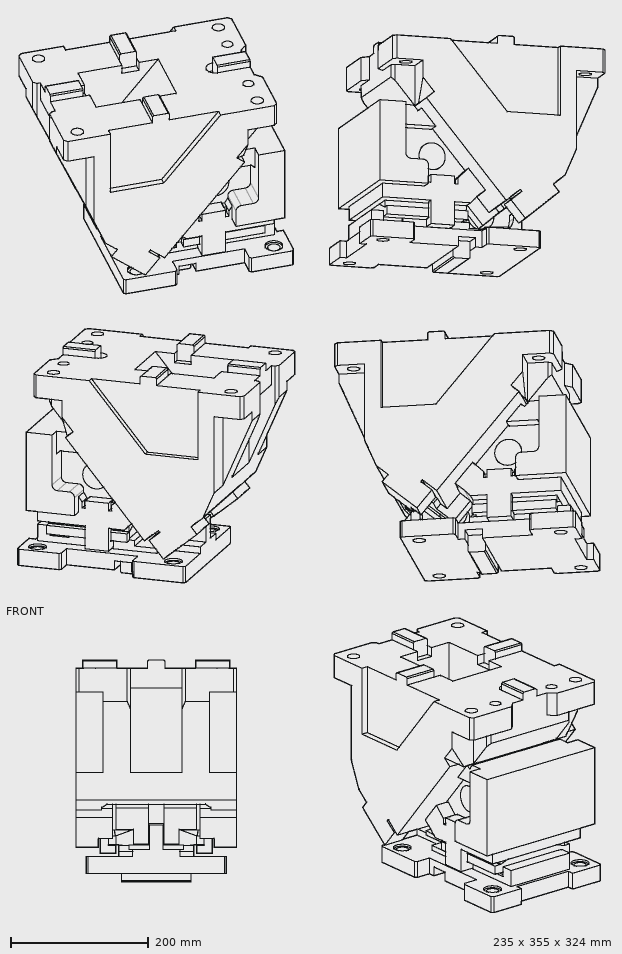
import cadquery as cq
import math


CAM_ANGLE = math.radians(50)
TIP_Y, TIP_Z = -47.5, 63.3


def on_slope(along, out):
    """(Y, Z) of a point `along` the cam face below its tip and `out` of the holder."""
    y = TIP_Y - along * math.cos(CAM_ANGLE) + out * math.sin(CAM_ANGLE)
    z = TIP_Z - along * math.sin(CAM_ANGLE) - out * math.cos(CAM_ANGLE)
    return (y, z)


def slope_at_height(z, out):
    """(Y, Z) of the point at height z on the plane `out` of the cam face."""
    along = (TIP_Z - z - out * math.cos(CAM_ANGLE)) / math.sin(CAM_ANGLE)
    return on_slope(along, out)


def slope_at_wall(y, out):
    """(Y, Z) of the point at depth y on the plane `out` of the cam face."""
    along = (TIP_Y - y + out * math.sin(CAM_ANGLE)) / math.cos(CAM_ANGLE)
    return on_slope(along, out)


def box(x0, x1, y0, y1, z0, z1):
    return cq.Workplane("XY").box(x1 - x0, y1 - y0, z1 - z0, centered=False).translate((x0, y0, z0))


def slab(points, x0, x1):
    """Side profile of (Y, Z) points extruded from x0 to x1."""
    return cq.Workplane("YZ").polyline(points).close().extrude(x1 - x0).translate((x0, 0, 0))


def middle_slab(points, half_width):
    return slab(points, -half_width, half_width)


def both_sides(body):
    return body.union(body.mirror("YZ"))


def side_slabs(points, inner, outer):
    return both_sides(slab(points, inner, outer))


def slope_block(along0, along1, out0, out1):
    """Corners of a rectangle squared to the cam face."""
    return [on_slope(along0, out0), on_slope(along1, out0), on_slope(along1, out1), on_slope(along0, out1)]


KEY_WIDTH = 26
KEY_LENGTH = 50
KEY_PROUD = 12
KEY_SEAT = 14
KEY_CHAMFER = 2

BASE_HALF_X = 102.5
BASE_FRONT, BASE_BACK = -105, 155
BASE_THICK = 25
BASE_CORNER = 3
WAIST_HALF_X = 77
WAIST_FRONT, WAIST_BACK = -23, 87
BACK_NOTCH_HALF_X = 48
BACK_NOTCH_DEPTH = 10
BASE_HOLE_X = 82
BASE_HOLE_Y = (-80, 130)
BASE_BOLT, BASE_BORE, BASE_BORE_DEPTH = 18, 26, 3
BASE_KEY_HALF_X = 51

RAIL_FRONT, RAIL_BACK = -4, 120.5
NECK_HALF_X = 55
NECK_FRONT, NECK_BACK = -10.5, 139.5
NECK_TOP = 41
NECK_RELIEF_FRONT, NECK_RELIEF_BOTTOM, NECK_RELIEF_DEPTH = 91, 35, 5
FLANGE_HALF_X = 70
FLANGE_BOTTOM, FLANGE_TOP = 42, 55
ROOF_HALF_X = 59
ROOF_TOP_HALF_X = 33
CORE_FRONT = 0
BACK_STOP_TOP = 50.3
STEP_FRONT, STEP_TOP = -45, 32.5
PAD_HALF_X, PAD_BACK, PAD_TOP = 34.5, -40, 35
RAMP_HALF_X, RAMP_FRONT = 40, -77
RAMP_BACK_TOP, RAMP_FRONT_TOP = 40, 42
RIB_HALF_X, RIB_BACK, RIB_TOP, RIB_FILLET = 10, -92, 71, 20

SLIDE_BOTTOM, SLIDE_TOP = 64.5, 205
SLIDE_CORE_HALF_X = 60
SLIDE_HALF_X = 82
SLIDE_END = -30
SLIDE_TOP_END = -182
SLIDE_TOP_STEP = 9
LEDGE_GAP = 2
SOLE_BACK, SOLE_FRONT = 130.5, -4
FLANK_HALF_X = 101
FLANK_BACK, FLANK_FRONT = 141, 101
FLANK_BOTTOM = 85
FOOT_FRONT, FOOT_TOP = 66.5, 120.5
FOOT_INNER_RADIUS, FOOT_OUTER_RADIUS = 8, 8
LEDGE_BOTTOM = 175.5
LEDGE_CORNER = 5.5
STRAP_FRONT, STRAP_BACK = 20.5, 56.5
STRAP_TOP, STRAP_BOTTOM = 103, 29.5
STRAP_RELIEF, STRAP_RELIEF_BOTTOM, STRAP_RELIEF_DEPTH = 5, 91.5, 12
RECESS_FLOOR = 100.5
RECESS_RISE = 8
SHOULDER_TOP = 116
HOOK_INNER_X, HOOK_TOP = 59, 41
PAD_TOP_HALF_X, PAD_FOOT_HALF_X = 61.5, 60
PIN_HOLE_Y, PIN_HOLE_Z, PIN_HOLE = 48, 135.5, 40

HOLDER_HALF_X = 117.5
HOLDER_FRONT, HOLDER_BACK = -200, 125
HOLDER_TOP, PLATE_BOTTOM = 300, 265
HOLDER_CORNER = 5
NOTCH_DEPTH = 10
BACK_NOTCH_FLOOR_HALF_X = 32.5
FRONT_NOTCH_HALF_X = 37.5
WALL_BACK, WALL_FRONT = 80, -155
REAR_RIB_HALF_X, REAR_RIB_BACK, REAR_RIB_OUT = 77.5, 115, 6.5
CAM_TOP_END = -190
END_STEP, END_LEVEL, END_BACK = -28, 24, -97.4
NOSE_Z = 251.5
FRONT_RIB_INNER_X, FRONT_RIB_OUTER_X = 37.5, 77.5
FRONT_POCKET_TOP = 271
SHOULDER_CUT_LENGTH = 50
SHOULDER_CUT = 22
END_POCKET_HALF_X, END_POCKET_BACK = 63.5, -87.5
RELIEF_HALF_X, RELIEF_CORNER, RELIEF_DEPTH = 80, 8, 3
WING_INNER_X, WING_STEP_X = 63.5, 84.5
WING_START, WING_END = 3.5, 38
WING_BACK, WING_STEP, WING_LIP = -74, -26, -6.5
STOP_INNER_X, STOP_OUTER_X, STOP_LIP_X = 11.5, 59, 33
STOP_END, STOP_BACK, STOP_LIP = 9.5, -61.5, 20
STOP_OUTER_LIP = -12.5
ROLL_Y, ROLL_Z, ROLL_RADIUS, ROLL_HALF_X = -42, 62, 20, 10.5
POCKET_HALF_X, POCKET_FRONT, POCKET_BACK, POCKET_FLOOR = 45.5, -130, -7.5, 220
SIDE_RECESS_X, SIDE_RECESS_BACK, SIDE_RECESS_FLOOR = 107.5, 38, 196.5
SIDE_KEY_Y = -50
BOLT_X, BOLT_Y, BOLT = 97.5, (100, -174.5), 18
DOWEL_X, DOWEL_Y, DOWEL, DOWEL_DEPTH = 52.5, 100, 16, 30


def base_plate():
    x, y0, y1 = BASE_HALF_X, BASE_FRONT, BASE_BACK
    plate = box(-x, x, y0, y1, 0, BASE_THICK)
    plate = plate.cut(both_sides(box(WAIST_HALF_X, x, WAIST_FRONT, WAIST_BACK, 0, BASE_THICK)))
    notch = box(-BACK_NOTCH_HALF_X, BACK_NOTCH_HALF_X, y1 - BACK_NOTCH_DEPTH, y1, 0, BASE_THICK)
    plate = plate.cut(notch)
    plate = plate.edges("|Z").edges("<X or >X").chamfer(BASE_CORNER)
    holes = [(side * BASE_HOLE_X, y) for side in (-1, 1) for y in BASE_HOLE_Y]
    return plate.faces(">Z").workplane(origin=(0, 0, BASE_THICK)).pushPoints(holes).cboreHole(
        BASE_BOLT, BASE_BORE, BASE_BORE_DEPTH)


def rail():
    neck = box(-NECK_HALF_X, NECK_HALF_X, NECK_FRONT, NECK_BACK, BASE_THICK, NECK_TOP)
    relief = box(NECK_HALF_X - NECK_RELIEF_DEPTH, NECK_HALF_X, NECK_RELIEF_FRONT, RAIL_BACK,
                 NECK_RELIEF_BOTTOM, NECK_TOP)
    neck = neck.cut(both_sides(relief))
    web_half_x = NECK_HALF_X - NECK_RELIEF_DEPTH
    web = box(-web_half_x, web_half_x, RAIL_FRONT, RAIL_BACK, NECK_TOP, FLANGE_BOTTOM)
    flange = box(-FLANGE_HALF_X, FLANGE_HALF_X, RAIL_FRONT, RAIL_BACK, FLANGE_BOTTOM, FLANGE_TOP)
    stop = box(-NECK_HALF_X, NECK_HALF_X, RAIL_BACK, NECK_BACK, NECK_TOP, BACK_STOP_TOP)
    setback = box(-ROOF_HALF_X, ROOF_HALF_X, RAIL_FRONT, CORE_FRONT, NECK_TOP, SLIDE_BOTTOM)
    return neck.union(web).union(flange).union(roof()).cut(setback).union(stop)


def roof():
    """Sloping top of the rail; the slide has the matching groove."""
    outline = [(-ROOF_HALF_X, FLANGE_TOP), (ROOF_HALF_X, FLANGE_TOP),
               (ROOF_TOP_HALF_X, SLIDE_BOTTOM), (-ROOF_TOP_HALF_X, SLIDE_BOTTOM)]
    length = RAIL_BACK - RAIL_FRONT
    return cq.Workplane("XZ").polyline(outline).close().extrude(-length).translate((0, RAIL_FRONT, 0))


def base_front():
    """Step, pad, ramp and filleted rib ahead of the rail."""
    step = box(-NECK_HALF_X, NECK_HALF_X, STEP_FRONT, NECK_FRONT, BASE_THICK, STEP_TOP)
    pad = box(-PAD_HALF_X, PAD_HALF_X, BASE_FRONT, PAD_BACK, BASE_THICK, PAD_TOP)
    ramp = middle_slab([(PAD_BACK, PAD_TOP), (PAD_BACK, RAMP_BACK_TOP),
                        (RAMP_FRONT, RAMP_FRONT_TOP), (RAMP_FRONT, PAD_TOP)], RAMP_HALF_X)
    rib = (cq.Workplane("YZ").moveTo(BASE_FRONT, BASE_THICK).lineTo(BASE_FRONT, RIB_TOP)
           .lineTo(RIB_BACK, RIB_TOP).lineTo(RIB_BACK, RAMP_FRONT_TOP + RIB_FILLET)
           .radiusArc((RIB_BACK + RIB_FILLET, RAMP_FRONT_TOP), -RIB_FILLET)
           .lineTo(RIB_BACK + RIB_FILLET, BASE_THICK).close()
           .extrude(RIB_HALF_X, both=True))
    return step.union(pad).union(ramp).union(rib)


def base_key():
    half = KEY_WIDTH / 2
    key = box(-BASE_KEY_HALF_X, BASE_KEY_HALF_X, -half, half, -KEY_PROUD, KEY_SEAT)
    return key.faces("<Z").edges("|X").chamfer(KEY_CHAMFER)


def make_driver():
    half = KEY_WIDTH / 2
    key_slot = box(-BASE_HALF_X, BASE_HALF_X, -half, half, 0, KEY_SEAT)
    return base_plate().cut(key_slot).union(base_key()).union(rail()).union(base_front())


SLIDE_HEEL = on_slope(SLIDE_END, STOP_LIP)


def slide_core():
    outline = [(FLANK_FRONT, SLIDE_BOTTOM), (FLANK_FRONT, SLIDE_TOP),
               slope_at_height(SLIDE_TOP, SLIDE_TOP_STEP), on_slope(SLIDE_TOP_END, SLIDE_TOP_STEP),
               on_slope(SLIDE_TOP_END, 0), on_slope(SLIDE_END, 0), SLIDE_HEEL, (SOLE_FRONT, SLIDE_BOTTOM)]
    return middle_slab(outline, SLIDE_CORE_HALF_X)


def slide_flank():
    r_in, r_out = FOOT_INNER_RADIUS, FOOT_OUTER_RADIUS
    return (cq.Workplane("YZ").moveTo(FLANK_BACK, FLANK_BOTTOM).lineTo(FLANK_BACK, SLIDE_TOP)
            .lineTo(FLANK_FRONT, SLIDE_TOP).lineTo(FLANK_FRONT, FOOT_TOP + r_in)
            .radiusArc((FLANK_FRONT - r_in, FOOT_TOP), r_in)
            .lineTo(FOOT_FRONT + r_out, FOOT_TOP)
            .radiusArc((FOOT_FRONT, FOOT_TOP - r_out), -r_out)
            .lineTo(FOOT_FRONT, FLANK_BOTTOM).close()
            .extrude(FLANK_HALF_X, both=True))


def slide_ledge():
    outline = [(FLANK_FRONT, SLIDE_TOP), slope_at_height(SLIDE_TOP, SLIDE_TOP_STEP),
               on_slope(SLIDE_TOP_END, SLIDE_TOP_STEP), on_slope(SLIDE_TOP_END, LEDGE_GAP),
               slope_at_height(LEDGE_BOTTOM, LEDGE_GAP),
               (FLANK_FRONT - LEDGE_CORNER, LEDGE_BOTTOM), (FLANK_FRONT, LEDGE_BOTTOM - LEDGE_CORNER)]
    return middle_slab(outline, SLIDE_HALF_X)


def slide_sole():
    """Lower plate with the strap roots standing between two relief slots."""
    back, front = STRAP_BACK + STRAP_RELIEF, STRAP_FRONT - STRAP_RELIEF
    outline = [(SOLE_BACK, SLIDE_BOTTOM), (SOLE_BACK, FLANK_BOTTOM), (FOOT_FRONT, FLANK_BOTTOM),
               (FOOT_FRONT, RECESS_FLOOR + RECESS_RISE), (back, RECESS_FLOOR), (STRAP_BACK, RECESS_FLOOR),
               (STRAP_BACK, STRAP_TOP), (STRAP_FRONT, STRAP_TOP),
               (STRAP_FRONT, RECESS_FLOOR), (front, RECESS_FLOOR),
               slope_at_height(SHOULDER_TOP, LEDGE_GAP), on_slope(SLIDE_END, LEDGE_GAP),
               SLIDE_HEEL, (SOLE_FRONT, SLIDE_BOTTOM)]
    sole = middle_slab(outline, SLIDE_HALF_X)
    for y in (front, STRAP_BACK):
        relief = box(SLIDE_HALF_X - STRAP_RELIEF_DEPTH, SLIDE_HALF_X, y, y + STRAP_RELIEF,
                     STRAP_RELIEF_BOTTOM, RECESS_FLOOR)
        sole = sole.cut(both_sides(relief))
    return sole


def strap():
    """Strap that reaches down the rail and hooks under its flange."""
    leg = box(FLANGE_HALF_X, SLIDE_HALF_X, STRAP_FRONT, STRAP_BACK, STRAP_BOTTOM, SLIDE_BOTTOM)
    hook = box(HOOK_INNER_X, SLIDE_HALF_X, STRAP_FRONT, STRAP_BACK, STRAP_BOTTOM, HOOK_TOP)
    return both_sides(leg.union(hook))


def groove_pad():
    outline = [(-PAD_TOP_HALF_X, SLIDE_BOTTOM), (-PAD_FOOT_HALF_X, FLANGE_TOP),
               (PAD_FOOT_HALF_X, FLANGE_TOP), (PAD_TOP_HALF_X, SLIDE_BOTTOM)]
    length = RAIL_BACK - RAIL_FRONT
    pad = cq.Workplane("XZ").polyline(outline).close().extrude(-length).translate((0, RAIL_FRONT, 0))
    return pad.cut(roof())


def make_slide():
    body = slide_core().union(slide_flank()).union(slide_ledge()).union(slide_sole())
    body = body.union(strap()).union(groove_pad())
    pin_hole = (cq.Workplane("YZ").center(PIN_HOLE_Y, PIN_HOLE_Z).circle(PIN_HOLE / 2)
                .extrude(FLANK_HALF_X, both=True))
    return body.cut(pin_hole)


FRONT_FOOT = on_slope(END_LEVEL, END_BACK)


def holder_plate():
    x = HOLDER_HALF_X
    plate = box(-x, x, HOLDER_FRONT, HOLDER_BACK, PLATE_BOTTOM, HOLDER_TOP)
    return plate.edges("|Z").chamfer(HOLDER_CORNER)


def end_notches():
    """Notches in the back and front edges, cut through the full height."""
    inner = BACK_NOTCH_FLOOR_HALF_X
    outer = inner + NOTCH_DEPTH
    floor = HOLDER_BACK - NOTCH_DEPTH
    back = [(-outer, HOLDER_BACK), (-inner, floor), (inner, floor), (outer, HOLDER_BACK)]
    inner = FRONT_NOTCH_HALF_X
    outer = inner + HOLDER_CORNER
    floor = HOLDER_FRONT + NOTCH_DEPTH
    mouth = HOLDER_FRONT + HOLDER_CORNER
    front = [(-outer, HOLDER_FRONT), (-inner, mouth), (-inner, floor),
             (inner, floor), (inner, mouth), (outer, HOLDER_FRONT)]
    return (cq.Workplane("XY").polyline(back).close().extrude(HOLDER_TOP)
            .union(cq.Workplane("XY").polyline(front).close().extrude(HOLDER_TOP)))


def front_slope_z(y):
    foot_y, foot_z = FRONT_FOOT
    return foot_z + (NOSE_Z - foot_z) * (foot_y - y) / (foot_y - HOLDER_FRONT)


def holder_wedge():
    outline = [(WALL_BACK, PLATE_BOTTOM), slope_at_wall(WALL_BACK, REAR_RIB_OUT),
               on_slope(CAM_TOP_END, REAR_RIB_OUT), on_slope(CAM_TOP_END, 0), on_slope(0, 0),
               on_slope(0, END_STEP), on_slope(END_LEVEL, END_STEP), FRONT_FOOT,
               (WALL_FRONT, front_slope_z(WALL_FRONT)), (WALL_FRONT, PLATE_BOTTOM)]
    return middle_slab(outline, HOLDER_HALF_X)


def rear_rib():
    outline = [(WALL_BACK, PLATE_BOTTOM), (REAR_RIB_BACK, PLATE_BOTTOM),
               slope_at_wall(REAR_RIB_BACK, REAR_RIB_OUT), slope_at_wall(WALL_BACK, REAR_RIB_OUT)]
    return middle_slab(outline, REAR_RIB_HALF_X).faces(">Y").edges("|Z").chamfer(HOLDER_CORNER)


def front_ribs():
    outline = [(WALL_FRONT, PLATE_BOTTOM), (WALL_FRONT, front_slope_z(WALL_FRONT)),
               (HOLDER_FRONT, NOSE_Z), (HOLDER_FRONT, PLATE_BOTTOM)]
    return side_slabs(outline, FRONT_RIB_INNER_X, FRONT_RIB_OUTER_X)


def front_pocket():
    x = FRONT_RIB_INNER_X
    return box(-x, x, HOLDER_FRONT, WALL_FRONT, PLATE_BOTTOM, FRONT_POCKET_TOP)


def slope_plane(along):
    """Plane square to the cam slope: local x is X, local y points out of the cam face."""
    y, z = on_slope(along, 0)
    normal = (0, math.cos(CAM_ANGLE), math.sin(CAM_ANGLE))
    return cq.Workplane(cq.Plane(origin=(0, y, z), xDir=(1, 0, 0), normal=normal))


def shoulder_cuts():
    """45 degree cuts on the rear outer corners above the cam face."""
    x = HOLDER_HALF_X
    low = REAR_RIB_OUT - SHOULDER_CUT
    outline = [(x, low), (x, REAR_RIB_OUT), (x - SHOULDER_CUT, REAR_RIB_OUT)]
    cut = slope_plane(CAM_TOP_END).polyline(outline).close()
    return both_sides(cut.extrude(SHOULDER_CUT_LENGTH))


def end_pocket():
    """Deep pocket in the lower end face, inside a shallow relief with cut corners."""
    deep = middle_slab(slope_block(0, END_LEVEL, END_POCKET_BACK, END_STEP), END_POCKET_HALF_X)
    x, top = RELIEF_HALF_X, END_POCKET_BACK
    outline = [(-x, END_STEP), (-x, top + RELIEF_CORNER), (-x + RELIEF_CORNER, top),
               (x - RELIEF_CORNER, top), (x, top + RELIEF_CORNER), (x, END_STEP)]
    relief = slope_plane(END_LEVEL).polyline(outline).close().extrude(RELIEF_DEPTH)
    return deep.union(relief)


def wings():
    outer = slope_block(WING_START, WING_END, WING_BACK, WING_LIP)
    inner = slope_block(WING_START, WING_END, WING_BACK, WING_STEP)
    return side_slabs(outer, WING_STEP_X, HOLDER_HALF_X).union(side_slabs(inner, WING_INNER_X, WING_STEP_X))


def slide_stops():
    """Stop plates on the lower end and their lips, which the slide's end faces."""
    outer = side_slabs(slope_block(0, STOP_END, STOP_BACK, STOP_OUTER_LIP), STOP_LIP_X, STOP_OUTER_X)
    inner = side_slabs(slope_block(0, STOP_END, STOP_BACK, 0), STOP_INNER_X, STOP_LIP_X)
    lip = side_slabs(slope_block(SLIDE_END, STOP_END, 0, STOP_LIP), STOP_INNER_X, STOP_LIP_X)
    roll = cq.Workplane("YZ").center(ROLL_Y, ROLL_Z).circle(ROLL_RADIUS).extrude(ROLL_HALF_X, both=True)
    return outer.union(inner).union(lip).union(roll)


def sloped_pocket(back, floor, inner, outer):
    """Pocket from the top with its back wall parallel to the cam slope."""
    back_foot = back - (HOLDER_TOP - floor) / math.tan(CAM_ANGLE)
    return slab([(back, HOLDER_TOP), (back_foot, floor), (POCKET_FRONT, floor), (POCKET_FRONT, HOLDER_TOP)],
                inner, outer)


def top_key(x0, x1, y0, y1, long_axis):
    key = box(x0, x1, y0, y1, HOLDER_TOP - KEY_SEAT, HOLDER_TOP + KEY_PROUD)
    return key.faces(">Z").edges("|" + long_axis).chamfer(KEY_CHAMFER)


def top_key_slots():
    half = KEY_WIDTH / 2
    floor = HOLDER_TOP - KEY_SEAT
    back_end = HOLDER_BACK - NOTCH_DEPTH
    key_start = back_end - KEY_LENGTH
    back = box(-half, half, key_start, back_end, floor, HOLDER_TOP)
    back = back.union(cq.Workplane("XY").center(0, key_start).circle(half).extrude(KEY_SEAT)
                      .translate((0, 0, floor)))
    front = box(-half, half, HOLDER_FRONT, POCKET_FRONT, floor, HOLDER_TOP)
    side = box(-SIDE_RECESS_X, SIDE_RECESS_X, SIDE_KEY_Y - half, SIDE_KEY_Y + half, floor, HOLDER_TOP)
    return back.union(front).union(side)


def top_keys():
    half = KEY_WIDTH / 2
    back_end = HOLDER_BACK - NOTCH_DEPTH
    front_end = HOLDER_FRONT + NOTCH_DEPTH
    back = top_key(-half, half, back_end - KEY_LENGTH, back_end, "Y")
    front = top_key(-half, half, front_end, front_end + KEY_LENGTH, "Y")
    side = top_key(SIDE_RECESS_X - KEY_LENGTH, SIDE_RECESS_X, SIDE_KEY_Y - half, SIDE_KEY_Y + half, "X")
    return back.union(front).union(both_sides(side))


def top_holes():
    bolts = [(side * BOLT_X, y) for side in (-1, 1) for y in BOLT_Y]
    dowels = [(side * DOWEL_X, DOWEL_Y) for side in (-1, 1)]
    top = cq.Workplane("XY").workplane(offset=HOLDER_TOP)
    bolt_holes = top.pushPoints(bolts).circle(BOLT / 2).extrude(PLATE_BOTTOM - HOLDER_TOP)
    return bolt_holes.union(top.pushPoints(dowels).circle(DOWEL / 2).extrude(-DOWEL_DEPTH))


def make_holder():
    body = holder_plate().union(holder_wedge()).union(rear_rib()).union(front_ribs())
    body = body.cut(end_notches()).cut(front_pocket()).cut(shoulder_cuts()).cut(end_pocket())
    body = body.union(wings()).union(slide_stops())
    body = body.cut(sloped_pocket(POCKET_BACK, POCKET_FLOOR, -POCKET_HALF_X, POCKET_HALF_X))
    recess = sloped_pocket(SIDE_RECESS_BACK, SIDE_RECESS_FLOOR, SIDE_RECESS_X, HOLDER_HALF_X)
    body = body.cut(both_sides(recess))
    return body.cut(top_key_slots()).union(top_keys()).cut(top_holes())


driver = make_driver()
slide = make_slide()
holder = make_holder()
result = cq.Compound.makeCompound([driver.solids().val(), slide.solids().val(), holder.solids().val()])